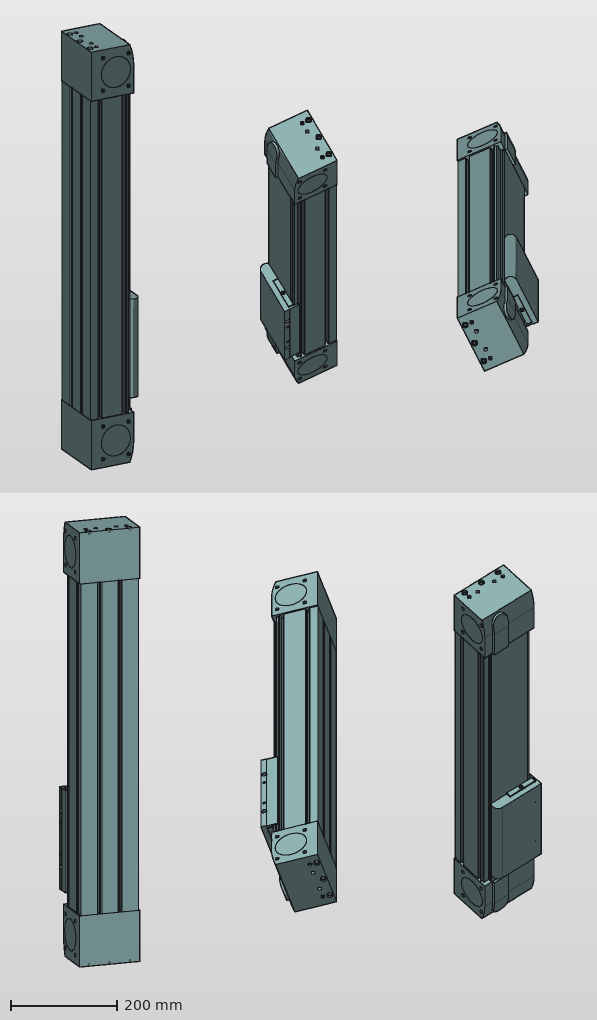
import cadquery as cq
import math

total_length = 846.0
mid_z = total_length / 2
housing_width = 120.0
housing_length = 100.0
housing_depth = 90.5

corner_drop = 8.5
corner_length = 42.0
corner_radius = (corner_length**2 + corner_drop**2) / (2 * corner_drop)

pad_height = 5.0
pad_width = 35.0
pad_x = 24.0
pad_end_gap = 4.0

cover_diameter = 62.0
cover_thickness = 8.5
cover_y = 52.5
cover_end_gap = 50.0
cover_z = total_length - cover_end_gap
cover_screw_y = 27.0
cover_screw_z = 33.0
small_bore_diameter = 7.0
small_core_diameter = 4.15

column_spacing = 41.0
upper_row_y = 21.0
lower_row_y = 8.0
large_bore_diameter = 11.0
large_core_diameter = 6.7
bore_depth = 4.0
hole_depth = 13.0

profile_width = 115.0
profile_shoulder_y = 76.0
profile_bevel = 2.5
shelf_y = 82.0
rail_width = 88.0
rail_groove_y = 86.0
rail_groove_width = 2.5
rail_groove_depth = 3.0
slot_mouth = 8.5
slot_width = 5.0
slot_bevel = (slot_mouth - slot_width) / 2
slot_depth = 8.5
side_slots_y = (20.0, 71.0)

carriage_length = 200.0
carriage_z = 223.0
carriage_top_y = 112.0
carriage_left_x = -housing_width / 2
step_y = 101.0
side_step = 1.0
lip_thickness = 4.0
lip_bottom_y = 79.5
nose_radius = 13.0
nose_x = 35.0
nose_y = carriage_top_y - nose_radius
side_hole_y = 105.0
side_hole_diameter = 9.0
side_hole_offset = 55.0
pin_hole_diameter = 4.9
pin_hole_offset = 30.5

slider_left_x = -55.0
slider_right_x = 7.0
slider_overhang = 2.5
slider_length = carriage_length + 2 * slider_overhang


def rod(diameter, length, start, direction):
    """Cylinder from a start point along a direction."""
    return cq.Workplane(cq.Solid.makeCylinder(diameter / 2, length, cq.Vector(*start), cq.Vector(*direction)))


def stepped_hole(start, direction, bore, core):
    """Cutter for a wide shallow bore with a narrower hole below it."""
    return rod(bore, bore_depth, start, direction).union(rod(core, hole_depth, start, direction))


def box_between(low, high):
    """Box given by two opposite corners."""
    size = [b - a for a, b in zip(low, high)]
    return cq.Workplane("XY").box(*size, centered=False).translate(low)


def make_cover(side):
    """Flush disc on the -X (side = -1) or +X (side = 1) face of the upper housing."""
    start = (side * housing_width / 2, cover_y, cover_z)
    return rod(cover_diameter, cover_thickness, start, (-side, 0, 0))


def rounded_block(offset, low_x, high_x):
    """Housing block whose rounded back is moved outwards by an offset."""
    radius = corner_radius + offset
    back_y = housing_depth + offset
    centre_y = housing_depth - corner_radius
    centre_z = total_length - corner_length
    end_angle = math.asin(corner_length / radius)
    mid_angle = end_angle / 2
    arc_mid = (centre_y + radius * math.cos(mid_angle), centre_z + radius * math.sin(mid_angle))
    arc_end = (centre_y + radius * math.cos(end_angle), total_length)
    return (
        cq.Workplane("YZ", origin=(low_x, 0, 0))
        .moveTo(0, total_length - housing_length)
        .lineTo(back_y, total_length - housing_length)
        .lineTo(back_y, centre_z)
        .threePointArc(arc_mid, arc_end)
        .lineTo(0, total_length)
        .close()
        .extrude(high_x - low_x)
    )


def make_pad():
    """Raised pad with a round tip that follows the housing's back."""
    radius = pad_width / 2
    tip_z = total_length - pad_end_gap
    bottom_z = total_length - housing_length
    outline = (
        cq.Workplane("XZ")
        .moveTo(pad_x - radius, bottom_z)
        .lineTo(pad_x + radius, bottom_z)
        .lineTo(pad_x + radius, tip_z - radius)
        .threePointArc((pad_x, tip_z), (pad_x - radius, tip_z - radius))
        .close()
        .extrude(-(housing_depth + pad_height))
    )
    return rounded_block(pad_height, pad_x - radius, pad_x + radius).intersect(outline)


def make_housing():
    """Upper housing with cover recesses and screw holes."""
    half_width = housing_width / 2
    housing = rounded_block(0, -half_width, half_width).union(make_pad())
    for side in (-1, 1):
        housing = housing.cut(make_cover(side))
        for dy in (-cover_screw_y, cover_screw_y):
            for dz in (-cover_screw_z, cover_screw_z):
                start = (side * half_width, cover_y + dy, cover_z + dz)
                housing = housing.cut(
                    stepped_hole(start, (-side, 0, 0), small_bore_diameter, small_core_diameter)
                )
    down = (0, 0, -1)
    for x in (-column_spacing, 0, column_spacing):
        start = (x, lower_row_y, total_length)
        housing = housing.cut(stepped_hole(start, down, large_bore_diameter, large_core_diameter))
    for side in (-1, 1):
        outer_start = (side * column_spacing, upper_row_y, total_length)
        inner_start = (side * column_spacing / 2, upper_row_y, total_length)
        housing = housing.cut(stepped_hole(outer_start, down, small_bore_diameter, small_core_diameter))
        housing = housing.cut(rod(small_bore_diameter, hole_depth, inner_start, down))
    return housing


def slot_cutter(length):
    """Slot with a bevelled mouth at the origin, open towards -Y and extruded along Z."""
    half_mouth = slot_mouth / 2
    half_slot = slot_width / 2
    return (
        cq.Workplane("XY")
        .polyline([
            (-half_mouth, 0),
            (half_mouth, 0),
            (half_slot, slot_bevel),
            (half_slot, slot_depth),
            (-half_slot, slot_depth),
            (-half_slot, slot_bevel),
        ])
        .close()
        .extrude(length)
    )


def make_profile():
    """Extruded beam between the housings, with slots along its sides."""
    length = total_length - 2 * housing_length
    half_width = profile_width / 2
    half_rail = rail_width / 2
    bevel_x = half_width - profile_bevel
    right_half = [
        (half_width, 0),
        (half_width, profile_shoulder_y),
        (bevel_x, profile_shoulder_y + profile_bevel),
        (bevel_x, shelf_y),
        (half_rail, shelf_y),
        (half_rail, housing_depth),
    ]
    left_half = [(-x, y) for x, y in reversed(right_half)]
    profile = cq.Workplane("XY").polyline(right_half + left_half).close().extrude(length)
    slot = slot_cutter(length)
    for side in (-1, 1):
        profile = profile.cut(slot.translate((side * column_spacing / 2, 0, 0)))
        for y in side_slots_y:
            side_slot = slot.rotate((0, 0, 0), (0, 0, 1), side * 90)
            profile = profile.cut(side_slot.translate((side * half_width, y, 0)))
        groove = cq.Workplane("XY").box(2 * rail_groove_depth, rail_groove_width, length, (True, True, False))
        profile = profile.cut(groove.translate((side * half_rail, rail_groove_y, 0)))
    return profile.translate((0, 0, housing_length))


def make_slider():
    """Bar on the profile's back with a stepped hole in each end."""
    low_z = carriage_z - slider_length / 2
    slider = box_between(
        (slider_left_x, housing_depth, low_z),
        (slider_right_x, step_y, low_z + slider_length),
    )
    hole_x = (slider_left_x + slider_right_x) / 2
    hole_y = (housing_depth + step_y) / 2
    for side in (-1, 1):
        start = (hole_x, hole_y, carriage_z + side * slider_length / 2)
        slider = slider.cut(
            stepped_hole(start, (0, 0, -side), small_bore_diameter, small_core_diameter)
        )
    return slider


def make_carriage():
    """Carriage with a lip over the profile's -X edge and a round nose towards +X."""
    low_z = carriage_z - carriage_length / 2
    nose_end_y = housing_depth
    nose_end_x = nose_x + math.sqrt(nose_radius**2 - (nose_y - nose_end_y) ** 2)
    lip_left_x = carriage_left_x + side_step
    lip_right_x = carriage_left_x + lip_thickness
    carriage = (
        cq.Workplane("XY", origin=(0, 0, low_z))
        .moveTo(carriage_left_x, carriage_top_y)
        .lineTo(nose_x, carriage_top_y)
        .threePointArc((nose_x + nose_radius, nose_y), (nose_end_x, nose_end_y))
        .lineTo(lip_right_x, nose_end_y)
        .lineTo(lip_right_x, lip_bottom_y)
        .lineTo(lip_left_x, lip_bottom_y)
        .lineTo(lip_left_x, step_y)
        .lineTo(carriage_left_x, step_y)
        .close()
        .extrude(carriage_length)
    )
    carriage = carriage.cut(box_between(
        (slider_left_x, housing_depth, low_z),
        (slider_right_x, step_y, low_z + carriage_length),
    ))
    for side in (-1, 1):
        for diameter, offset in (
            (side_hole_diameter, side_hole_offset),
            (pin_hole_diameter, pin_hole_offset),
        ):
            start = (carriage_left_x, side_hole_y, carriage_z + side * offset)
            carriage = carriage.cut(rod(diameter, hole_depth, start, (1, 0, 0)))
    return carriage


def mirrored(body):
    """Copy of a body at the opposite end of the axis."""
    return body.mirror("XY", (0, 0, mid_z))


profile = make_profile()
carriage = make_carriage()
slider = make_slider()
upper_housing = make_housing()
housings = [upper_housing, mirrored(upper_housing)]
upper_covers = [make_cover(side) for side in (-1, 1)]
covers = upper_covers + [mirrored(cover) for cover in upper_covers]

bodies = [profile, carriage, slider, *housings, *covers]
result = cq.Compound.makeCompound([body.val() for body in bodies])